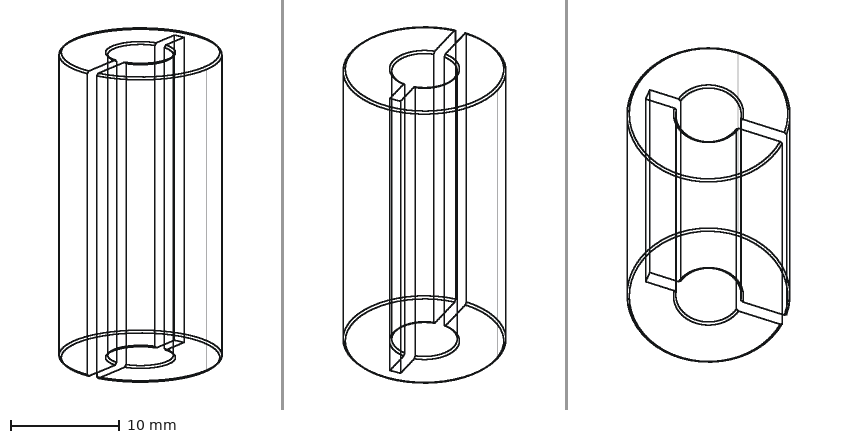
import cadquery as cq

length = 29.5
outer_diameter = 15.0
bore_diameter = 6.02
edge_chamfer = 0.2
slot_width = 1.1
slot_depth = 6.0

outer_radius = outer_diameter / 2

sleeve = (
    cq.Workplane("XY")
    .circle(outer_radius)
    .circle(bore_diameter / 2)
    .extrude(length)
    .faces("<Z or >Z")
    .edges()
    .chamfer(edge_chamfer)
)

slot = (
    cq.Workplane("XY")
    .box(slot_width, outer_radius + slot_depth, length, centered=(True, False, False))
    .translate((0, -outer_radius, 0))
)

result = sleeve.cut(slot)